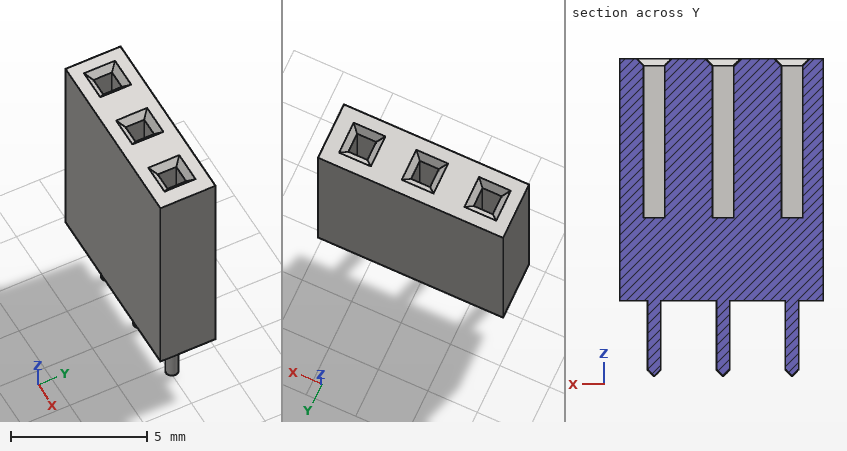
import cadquery as cq

body_length = 7.49
body_width = 2.29
total_height = 11.68
body_height = 8.9

contact_count = 3
contact_pitch = 2.53
row_shift = -0.06
pin_diameter = 0.5
pin_tip_height = pin_diameter / 2

socket_mouth = 1.28
socket_throat = 0.77
lead_in_depth = 0.26
socket_depth = 5.84

pin_length = total_height - body_height
contact_positions = [
    row_shift + (i - (contact_count - 1) / 2) * contact_pitch
    for i in range(contact_count)
]


def make_socket(x):
    """Square socket cut down from the top face at position x."""
    lead_in = (
        cq.Workplane("XY", origin=(x, 0, body_height))
        .rect(socket_mouth, socket_mouth)
        .workplane(offset=-lead_in_depth)
        .rect(socket_throat, socket_throat)
        .loft()
    )
    throat = (
        cq.Workplane("XY", origin=(x, 0, body_height - lead_in_depth))
        .rect(socket_throat, socket_throat)
        .extrude(lead_in_depth - socket_depth)
    )
    return lead_in.union(throat)


def make_pin(x):
    """Round pin below the housing at position x, ending in a conical point."""
    profile = [
        (0, 0),
        (pin_diameter / 2, 0),
        (pin_diameter / 2, pin_tip_height - pin_length),
        (0, -pin_length),
    ]
    pin = cq.Workplane("XZ").polyline(profile).close().revolve(360, (0, 0), (0, 1))
    return pin.translate((x, 0, 0))


result = cq.Workplane("XY").box(body_length, body_width, body_height, centered=(True, True, False))
for contact_x in contact_positions:
    result = result.cut(make_socket(contact_x))
    result = result.union(make_pin(contact_x))